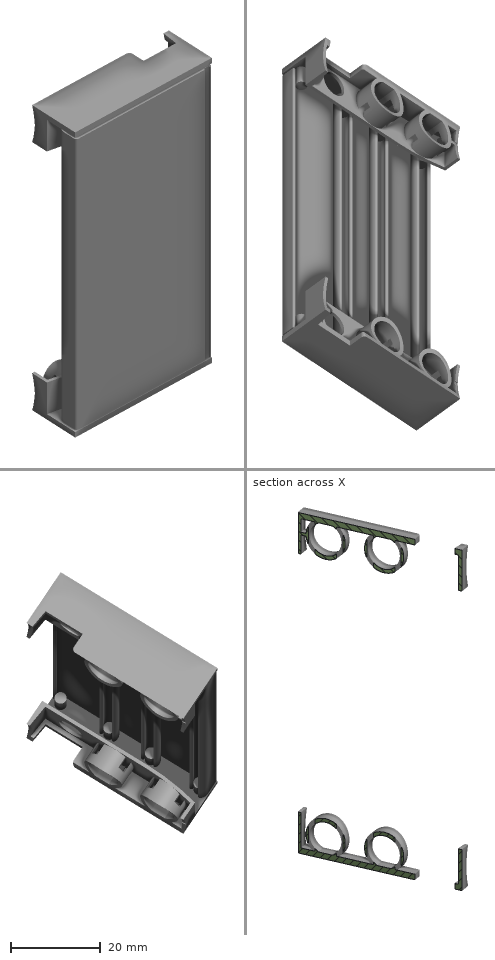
import cadquery as cq
import math

WIDTH = 41.45
HEIGHT = 84.0
DEPTH = 14.31
Y_LEFT = WIDTH / 2
Y_RIGHT = -WIDTH / 2

PANEL_LENGTH = 80.0
PANEL_INSET = 0.1
PANEL_LEFT = Y_LEFT - PANEL_INSET
PANEL_RIGHT = Y_RIGHT + PANEL_INSET
FLOOR_X = 12.1
BACK_CORNER_RADIUS = 0.65
BACK_GROOVE_DEPTH = 0.4
BACK_GROOVE_WIDTH = 1.6

PEG_RADIUS = 2.7 / 2
LIP_RADIUS = 0.45
CHANNEL_X = 10.32
CHANNEL_MID_RADIUS = PEG_RADIUS + LIP_RADIUS
CHANNEL_OUTER_RADIUS = PEG_RADIUS + 2 * LIP_RADIUS
MOUTH_REACH = 3 * CHANNEL_OUTER_RADIUS
CHANNEL_PITCH = 11.0
FIRST_CHANNEL_Y = Y_LEFT - 15.28
SECOND_CHANNEL_Y = FIRST_CHANNEL_Y - CHANNEL_PITCH
END_CHANNEL_Y = PANEL_RIGHT + CHANNEL_OUTER_RADIUS
LIP_ANGLE = 66.0
END_LIP_ANGLE = 37.0

LEDGE_X = 10.88
LEDGE_Y = PANEL_LEFT - LIP_RADIUS
HOLLOW_RADIUS = 1.3
HOLLOW_Y = Y_LEFT - 1.87

BRACKET_HEIGHT = 10.2
BRACKET_DEPTH = 14.1
PLATE_THICKNESS = 1.5
PLATE_Z = HEIGHT / 2 - PLATE_THICKNESS
BRACKET_BOTTOM = HEIGHT / 2 - BRACKET_HEIGHT
AXIS_Z = HEIGHT / 2 - BRACKET_HEIGHT / 2
WALL_BACK_X = 6.47
WALL_THICKNESS = 0.8
WALL_BEND_Y = Y_LEFT - 27.8
WALL_BEND_RISE = 1.65
SIDE_WALL = 0.8
HOOK_ROOT = 1.35
SADDLE_SAG = 0.8

NOTCH_DEPTH = 4.6
NOTCH_TIP_Y = Y_LEFT - 1.6
NOTCH_ROOT_Y = Y_LEFT - 2.1
NOTCH_END_Y = Y_LEFT - 11.9
NOTCH_CORNER_RADIUS = 1.0

HOLE_DIAMETER = 6.2
HOLE_Y = Y_LEFT - 8.05
CUP_Y = (Y_LEFT - 19.75, Y_LEFT - 34.5)
CUP_RADIUS = 5.0
BORE_RADIUS = 4.0
SLOT_INNER = 2.8
SLOT_OUTER = 4.25
SLOT_DEPTH = 2.9

PEG_Y = (Y_LEFT - 2.4, FIRST_CHANNEL_Y, SECOND_CHANNEL_Y, END_CHANNEL_Y)
PEG_LENGTH = 4.7

RIB_WIDTH = 0.8
RIB_X = 0.95
RIB_BOTTOM = AXIS_Z - RIB_WIDTH / 2
RIB_TOP = AXIS_Z + RIB_WIDTH / 2


def block(x0, x1, y0, y1, z0, z1):
    """Box between the given limits."""
    size = (x1 - x0, y1 - y0, z1 - z0)
    return cq.Workplane("XY").box(*size, centered=False).translate((x0, y0, z0))


def panel_bar(x0, x1, y0, y1):
    """Rectangular bar running the panel's full length."""
    return block(x0, x1, y0, y1, -PANEL_LENGTH / 2, PANEL_LENGTH / 2)


def panel_rod(x, y, radius):
    """Round bar running the panel's full length."""
    rod = cq.Workplane("XY").center(x, y).circle(radius).extrude(PANEL_LENGTH)
    return rod.translate((0, 0, -PANEL_LENGTH / 2))


def rod_x(y, radius, x0, x1):
    """Cylinder along X through the bracket's axis height."""
    return cq.Workplane("YZ").center(y, AXIS_Z).circle(radius).extrude(x1 - x0).translate((x0, 0, 0))


def toward(y, side, angle, radius):
    """Point at an angle from -X about a channel's axis; side is +1 for +Y, -1 for -Y."""
    turn = math.radians(angle)
    return (CHANNEL_X - radius * math.cos(turn), y + side * radius * math.sin(turn))


def channel(y, left_angle, right_angle):
    """C-shaped channel with rounded lips, standing on the panel floor."""
    body = panel_rod(CHANNEL_X, y, CHANNEL_OUTER_RADIUS)
    mouth = (
        cq.Workplane("XY")
        .polyline([
            (CHANNEL_X, y),
            toward(y, 1, left_angle, MOUTH_REACH),
            toward(y, -1, right_angle, MOUTH_REACH),
        ])
        .close()
        .extrude(PANEL_LENGTH)
        .translate((0, 0, -PANEL_LENGTH / 2))
    )
    body = body.cut(panel_rod(CHANNEL_X, y, PEG_RADIUS)).cut(mouth)
    for side, angle in ((1, left_angle), (-1, right_angle)):
        body = body.union(panel_rod(*toward(y, side, angle, CHANNEL_MID_RADIUS), LIP_RADIUS))
    return body


def edge_ledge():
    """Rounded ledge on the +Y edge, blended into the floor by a hollow fillet."""
    ledge = panel_bar(FLOOR_X - HOLLOW_RADIUS, FLOOR_X, HOLLOW_Y, PANEL_LEFT)
    ledge = ledge.union(panel_bar(LEDGE_X, FLOOR_X, PANEL_LEFT - 2 * LIP_RADIUS, PANEL_LEFT))
    ledge = ledge.cut(panel_rod(FLOOR_X - HOLLOW_RADIUS, HOLLOW_Y, HOLLOW_RADIUS))
    return ledge.union(panel_rod(LEDGE_X, LEDGE_Y, LIP_RADIUS))


def make_panel():
    """Flat panel with a ledge, three peg channels and a shallow groove in its back."""
    panel = panel_bar(FLOOR_X, DEPTH, PANEL_RIGHT, PANEL_LEFT)
    panel = panel.edges("|Z and >X").fillet(BACK_CORNER_RADIUS)
    groove_top = PANEL_LEFT - BACK_CORNER_RADIUS
    panel = panel.cut(panel_bar(DEPTH - BACK_GROOVE_DEPTH, DEPTH, groove_top - BACK_GROOVE_WIDTH, groove_top))
    panel = panel.union(edge_ledge())
    for y in (FIRST_CHANNEL_Y, SECOND_CHANNEL_Y):
        panel = panel.union(channel(y, LIP_ANGLE, LIP_ANGLE))
    end_wall = panel_bar(CHANNEL_X, FLOOR_X, PANEL_RIGHT, END_CHANNEL_Y)
    end_wall = end_wall.cut(panel_rod(CHANNEL_X, END_CHANNEL_Y, PEG_RADIUS))
    return panel.union(end_wall).union(channel(END_CHANNEL_Y, LIP_ANGLE, END_LIP_ANGLE))


def wall_outline(x_back):
    """Bracket outline in XY from x = 0 back to the wall face, which bends toward -X near the -Y end."""
    run = WALL_BEND_Y - Y_RIGHT
    radius = (run**2 + WALL_BEND_RISE**2) / (2 * WALL_BEND_RISE) - (WALL_BACK_X - x_back)
    turn = math.asin(run / radius)
    half = turn / 2
    middle = (x_back - radius * (1 - math.cos(half)), WALL_BEND_Y - radius * math.sin(half))
    end = (x_back - radius * (1 - math.cos(turn)), Y_RIGHT)
    return (
        cq.Workplane("XY")
        .moveTo(0, Y_LEFT)
        .lineTo(x_back, Y_LEFT)
        .lineTo(x_back, WALL_BEND_Y)
        .threePointArc(middle, end)
        .lineTo(0, Y_RIGHT)
        .close()
        .extrude(BRACKET_HEIGHT)
        .translate((0, 0, BRACKET_BOTTOM))
    )


def bracket_walls():
    """Main wall with a side wall at each end; the +Y one thickens toward its root."""
    outer = wall_outline(WALL_BACK_X)
    inner_x = WALL_BACK_X - WALL_THICKNESS
    clear = (
        cq.Workplane("XY")
        .polyline([
            (0, Y_LEFT - SIDE_WALL),
            (inner_x, Y_LEFT - HOOK_ROOT),
            (inner_x, Y_RIGHT + SIDE_WALL),
            (0, Y_RIGHT + SIDE_WALL),
        ])
        .close()
        .extrude(BRACKET_HEIGHT)
        .translate((0, 0, BRACKET_BOTTOM))
    )
    walls = outer.cut(wall_outline(inner_x).intersect(clear))
    return walls.cut(rod_x(HOLE_Y, HOLE_DIAMETER / 2, 0, WALL_BACK_X))


def bracket_plate():
    """End plate with an open notch beside the +Y side wall."""
    plate = block(0, BRACKET_DEPTH, Y_RIGHT, Y_LEFT, PLATE_Z, HEIGHT / 2)
    notch = (
        cq.Workplane("XY")
        .polyline([
            (0, NOTCH_TIP_Y),
            (NOTCH_DEPTH, NOTCH_ROOT_Y),
            (NOTCH_DEPTH, NOTCH_END_Y),
            (0, NOTCH_END_Y),
        ])
        .close()
        .extrude(PLATE_THICKNESS)
        .translate((0, 0, PLATE_Z))
    )
    corner = cq.selectors.NearestToPointSelector((0, NOTCH_END_Y, HEIGHT / 2 - PLATE_THICKNESS / 2))
    return plate.cut(notch).edges("|Z").edges(corner).fillet(NOTCH_CORNER_RADIUS)


def cup(y):
    """Open cup against the main wall, with a slot along Z on each side of its bore."""
    body = rod_x(y, CUP_RADIUS, 0, WALL_BACK_X).cut(rod_x(y, BORE_RADIUS, 0, WALL_BACK_X))
    slot_end = WALL_BACK_X - WALL_THICKNESS
    for y0, y1 in ((y - SLOT_OUTER, y - SLOT_INNER), (y + SLOT_INNER, y + SLOT_OUTER)):
        body = body.cut(block(slot_end - SLOT_DEPTH, slot_end, y0, y1, BRACKET_BOTTOM, HEIGHT / 2))
    return body.intersect(wall_outline(WALL_BACK_X))


def saddle():
    """Cylinder along Y that hollows the bracket's -X edges."""
    half = BRACKET_HEIGHT / 2
    radius = (half**2 + SADDLE_SAG**2) / (2 * SADDLE_SAG)
    rod = cq.Workplane("XZ").center(SADDLE_SAG - radius, AXIS_Z).circle(radius).extrude(WIDTH)
    return rod.translate((0, Y_LEFT, 0))


def make_bracket():
    """Bracket at the +Z end, without the rib."""
    bracket = bracket_plate().union(bracket_walls())
    for y in CUP_Y:
        bracket = bracket.union(cup(y))
    bracket = bracket.cut(saddle())
    bracket = bracket.cut(block(0, RIB_X, Y_RIGHT, Y_RIGHT + SIDE_WALL, RIB_BOTTOM, RIB_TOP))
    pegs = cq.Workplane("XY", origin=(CHANNEL_X, 0, PLATE_Z)).pushPoints([(0, y) for y in PEG_Y])
    return bracket.union(pegs.circle(PEG_RADIUS).extrude(-PEG_LENGTH))


def rib():
    """Small rib joining the last cup to the -Y side wall."""
    rib_root = WALL_BACK_X - WALL_BEND_RISE
    cup_middle = CUP_Y[-1] - (CUP_RADIUS + BORE_RADIUS) / 2
    return block(RIB_X, rib_root, Y_RIGHT + SIDE_WALL, cup_middle, RIB_BOTTOM, RIB_TOP)


panel = make_panel()
plain_bracket = make_bracket()
lower_bracket = plain_bracket.mirror("XY")
upper_bracket = plain_bracket.union(rib())

result = cq.Compound.makeCompound([
    panel.solids().val(),
    upper_bracket.solids().val(),
    lower_bracket.solids().val(),
])